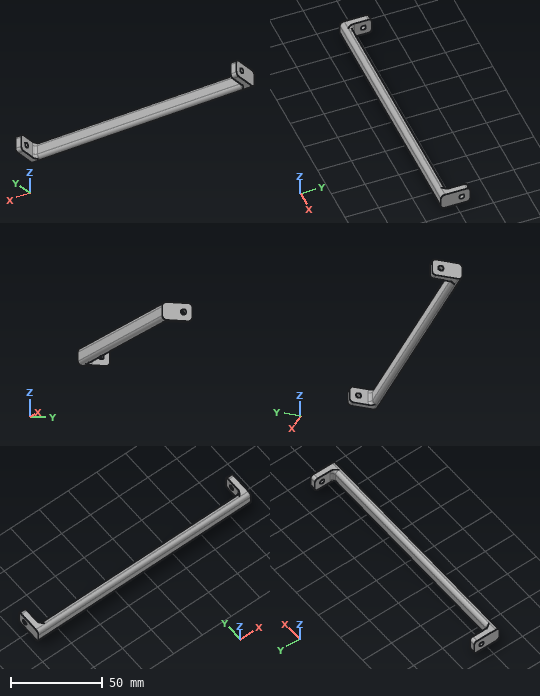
import cadquery as cq

length = 148.0
depth = 17.5
height = 10.0

front_radius = 2.5
bar_radius = 2.4
bar_depth = 5.0
leg_thickness = 4.0
leg_back_radius = 2.0
junction_radius = 2.0

hole_diameter = 3.0
hole_from_back = 5.0

inner_length = length - 2 * leg_thickness
front_y = -depth / 2
back_y = depth / 2
blank_margin = 7.4
selection_margin = 0.1


def end_outline():
    """Prism along X with the outline of a leg seen from its end."""
    prism = cq.Workplane("XY").box(length, depth, height)
    prism = prism.edges("|X and <Y").fillet(front_radius)
    return prism.edges("|X and >Y").fillet(leg_back_radius)


def grip_bar():
    """Bar between the legs with its four long edges rounded."""
    middle_y = front_y + bar_depth / 2
    return (
        cq.Workplane("YZ")
        .center(middle_y, 0)
        .rect(bar_depth, height)
        .extrude(inner_length / 2, both=True)
        .edges("|X")
        .fillet(bar_radius)
    )


def leg_blanks():
    """Oversized leg blocks, so that the junction fillet can run all round the bar."""
    blank = cq.Workplane("XY").box(
        leg_thickness, depth + 2 * blank_margin, height + 2 * blank_margin
    )
    offset = (length - leg_thickness) / 2
    return blank.translate((-offset, 0, 0)).union(blank.translate((offset, 0, 0)))


def mounting_holes():
    return (
        cq.Workplane("YZ")
        .center(back_y - hole_from_back, 0)
        .circle(hole_diameter / 2)
        .extrude(length / 2, both=True)
    )


inner_faces_x = inner_length / 2
selection = cq.selectors.BoxSelector(
    (-inner_faces_x - selection_margin, front_y - selection_margin, -height),
    (inner_faces_x + selection_margin, front_y + bar_depth + selection_margin, height),
)
handle = grip_bar().union(leg_blanks())
handle = handle.edges(selection).edges("not |X").fillet(junction_radius)
result = handle.intersect(end_outline()).cut(mounting_holes())